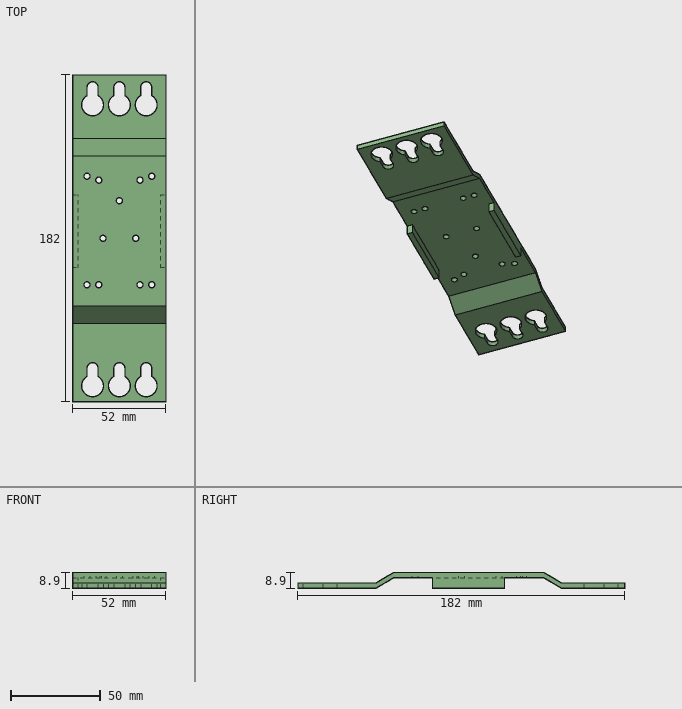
import cadquery as cq

length = 182.0
width = 52.0
thickness = 3.1
rise = 5.8
bend_run = 9.8
raised_front = -37.7
raised_back = 45.9

flange_front = -16.2
flange_back = 24.0

keyhole_pitch = 15.0
keyhole_head_diameter = 12.0
keyhole_slot_width = 6.0
keyhole_reach = 9.8
keyhole_rows = (-82.0, 74.3)

small_hole_diameter = 3.3
paired_holes = [(18.0, 34.5), (11.5, 32.4), (9.1, 0.0), (18.0, -25.8), (11.5, -25.8)]
centre_hole_y = 21.0

half_length = length / 2
total_height = rise + thickness


def bent_plate():
    """Sheet profile in the YZ plane, extruded across the full width."""
    underside = [
        (-half_length, 0),
        (raised_front - bend_run, 0),
        (raised_front, rise),
        (raised_back, rise),
        (raised_back + bend_run, 0),
        (half_length, 0),
    ]
    top = [(y, z + thickness) for y, z in reversed(underside)]
    return cq.Workplane("YZ").polyline(underside + top).close().extrude(width / 2, both=True)


def side_flange(side):
    """Flange flush with the plate edge; side is -1 or +1 along X."""
    return (
        cq.Workplane("XY")
        .center(side * (width - thickness) / 2, (flange_front + flange_back) / 2)
        .rect(thickness, flange_back - flange_front)
        .extrude(total_height)
    )


def keyhole(x, y):
    """Round head at (x, y) with a round-ended slot running toward +Y."""
    head = cq.Workplane("XY").center(x, y).circle(keyhole_head_diameter / 2).extrude(total_height)
    slot = (
        cq.Workplane("XY")
        .center(x, y + keyhole_reach / 2)
        .slot2D(keyhole_reach + keyhole_slot_width, keyhole_slot_width, 90)
        .extrude(total_height)
    )
    return head.union(slot)


def small_holes():
    """Mirrored pairs of holes plus one on the centreline."""
    centres = [(side * x, y) for x, y in paired_holes for side in (-1, 1)]
    centres.append((0, centre_hole_y))
    return cq.Workplane("XY").pushPoints(centres).circle(small_hole_diameter / 2).extrude(total_height)


result = bent_plate()
for side in (-1, 1):
    result = result.union(side_flange(side))
for row_y in keyhole_rows:
    for column in (-1, 0, 1):
        result = result.cut(keyhole(column * keyhole_pitch, row_y))
result = result.cut(small_holes())